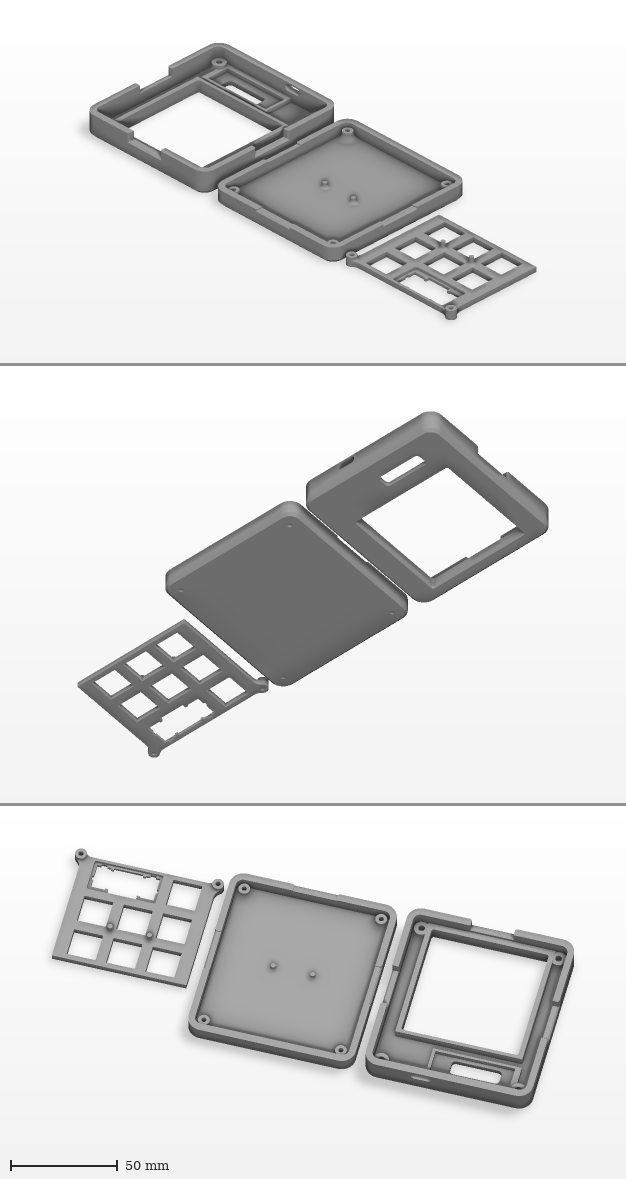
import cadquery as cq
import math

overall_length = 241.5
case_width = 81.0
case_depth = 89.1
base_offset = 86.0

corner_radius = 6.8
side_wall = 3.1
end_wall = 3.6
inner_corner_radius = 3.5
bottom_chamfer = 1.5
floor_thickness = 2.5
top_height = 12.5
base_height = 8.7

screw_spacing_x = 66.5
screw_spacing_y = 75.0
case_centre_x = case_width / 2
case_centre_y = case_depth / 2
screw_front_y = case_centre_y - screw_spacing_y / 2
screw_points = [
    (case_centre_x + sx * screw_spacing_x / 2, case_centre_y + sy * screw_spacing_y / 2)
    for sx in (-1, 1)
    for sy in (-1, 1)
]

top_standoff_diameter = 7.2
top_standoff_height = 6.5
top_standoff_fillet = 3.0
pilot_hole_diameter = 3.1
base_standoff_diameter = 5.5
base_standoff_height = 6.8
base_standoff_fillet = 3.0
base_hole_diameter = 2.4

notch_length = 21.0
notch_chamfer = 0.7
top_notch_depth = 4.3
base_notch_depth = 0.5

window_width = 56.8
window_depth = 57.2
window_front_y = 6.5
window_corner_radius = 1.2
window_frame_side = 2.5
window_frame_back = 1.7
window_frame_top = 6.8

display_frame_left = 9.0
display_frame_right = 52.0
display_frame_front = 68.8
display_frame_top = 4.8
display_pocket_left = 11.8
display_pocket_right = 50.5
display_pocket_front = 70.0
display_pocket_back = 82.9
display_slot_left = 17.6
display_slot_right = 41.8
display_slot_front = 71.7
display_slot_back = 79.0
display_slot_radius = 2.0

port_centre_x = 52.7
port_centre_z = 9.7
port_width = 9.7
port_height = 3.9

key_pitch = 19.0
peg_y = screw_front_y + 36.7

boss_diameter = 2.4
boss_fillet = 2.0
boss_height = 3.0

plate_bottom = 0.7
plate_thickness = 3.0
plate_width = 65.2
plate_front_y = 6.5
plate_back_y = 63.8
hub_diameter = 5.5
hub_height = 5.0
hub_hole_diameter = 2.4
hub_fillet = 5.0
hub_foot_fillet = 1.0
plate_centre_x = overall_length - hub_diameter / 2 - screw_spacing_x / 2
switch_size = 14.0
back_row_y = plate_back_y - 9.7

peg_diameter = 2.4
peg_height = 4.3
peg_fillet = 1.7

recess_width = 33.3
recess_depth = 16.0
recess_radius = 1.0
recess_ledge = 1.5
stabiliser_offset = 11.8
stabiliser_width = 6.8
stabiliser_back = 5.5
stabiliser_front = 6.8
link_back = 4.8
link_front = 6.0
relief_width = 3.0
relief_depth = 1.0
side_relief_depth = 0.7
side_relief_height = 2.2
side_relief_y = 0.5


def box(x_range, y_range, z_range):
    """Axis-aligned block between pairs of limits."""
    return cq.Workplane("XY").box(
        x_range[1] - x_range[0],
        y_range[1] - y_range[0],
        z_range[1] - z_range[0],
        centered=False,
    ).translate((x_range[0], y_range[0], z_range[0]))


def shell(height):
    """Open tray with rounded corners and a chamfered bottom edge."""
    outer = box((0, case_width), (0, case_depth), (0, height))
    outer = outer.edges("|Z").fillet(corner_radius).faces("<Z").edges().chamfer(bottom_chamfer)
    return outer.cut(cavity(height))


def cavity(height):
    """Space inside the walls, above the floor."""
    space = box(
        (side_wall, case_width - side_wall),
        (end_wall, case_depth - end_wall),
        (floor_thickness, height),
    )
    return space.edges("|Z").fillet(inner_corner_radius)


def flared_post(diameter, height, fillet, z):
    """Upright post whose foot flares out in a concave quarter round."""
    radius = diameter / 2
    diagonal = fillet * (1 - math.sqrt(0.5))
    profile = (
        cq.Workplane("XZ")
        .lineTo(radius + fillet, 0)
        .threePointArc((radius + diagonal, diagonal), (radius, fillet))
        .lineTo(radius, height)
        .lineTo(0, height)
        .close()
    )
    return profile.revolve(360, (0, 0, 0), (0, 1, 0)).translate((0, 0, z))


def notch(height, depth):
    """Rim notch through a wall on the y = 0 plane, centred on x = 0, flared at the outer face."""
    half = notch_length / 2
    bottom = height - depth
    cut = box((-half, half), (0, end_wall), (bottom, height))
    wide = half + notch_chamfer
    flare = (
        cq.Workplane("XZ")
        .moveTo(-wide, bottom - notch_chamfer)
        .lineTo(wide, bottom - notch_chamfer)
        .lineTo(wide, height)
        .lineTo(-wide, height)
        .close()
        .workplane(offset=-notch_chamfer)
        .moveTo(-half, bottom)
        .lineTo(half, bottom)
        .lineTo(half, height)
        .lineTo(-half, height)
        .close()
        .loft(ruled=True)
    )
    return cut.union(flare)


def cut_notches(body, height, depth):
    """Notches in the middle of the front, left and right walls."""
    cutter = notch(height, depth)
    left = cutter.rotate((0, 0, 0), (0, 0, 1), -90).translate((0, case_centre_y, 0))
    right = cutter.rotate((0, 0, 0), (0, 0, 1), 90).translate((case_width, case_centre_y, 0))
    front = cutter.translate((case_centre_x, 0, 0))
    return body.cut(front).cut(left).cut(right)


def make_top_case():
    """Upper half with keypad window, display opening and cable port."""
    body = shell(top_height)
    window_x = (case_centre_x - window_width / 2, case_centre_x + window_width / 2)
    window_y = (window_front_y, window_front_y + window_depth)
    window_frame = box(
        (window_x[0] - window_frame_side, window_x[1] + window_frame_side),
        (end_wall, window_y[1] + window_frame_back),
        (floor_thickness, window_frame_top),
    )
    display_frame = box(
        (display_frame_left, display_frame_right),
        (display_frame_front, case_depth - end_wall),
        (floor_thickness, display_frame_top),
    )
    display_pocket = box(
        (display_pocket_left, display_pocket_right),
        (display_pocket_front, display_pocket_back),
        (floor_thickness, display_frame_top),
    )
    fittings = window_frame.union(display_frame)
    fittings = fittings.cut(display_pocket)
    for x, y in screw_points:
        post = flared_post(
            top_standoff_diameter, top_standoff_height - floor_thickness, top_standoff_fillet, floor_thickness
        )
        post = post.translate((x, y, 0)).cut(display_pocket)
        fittings = fittings.union(post)
    body = body.union(fittings.intersect(cavity(top_height)))

    pilots = cq.Workplane("XY").workplane(offset=floor_thickness).pushPoints(screw_points)
    body = body.cut(pilots.circle(pilot_hole_diameter / 2).extrude(top_height))
    window = box(window_x, window_y, (0, window_frame_top)).edges("|Z").fillet(window_corner_radius)
    slot = box(
        (display_slot_left, display_slot_right),
        (display_slot_front, display_slot_back),
        (0, floor_thickness),
    ).edges("|Z").fillet(display_slot_radius)
    port = (
        cq.Workplane("XZ", origin=(port_centre_x, case_depth, port_centre_z))
        .slot2D(port_width, port_height)
        .extrude(end_wall)
    )
    body = body.cut(window).cut(slot).cut(port)
    return cut_notches(body, top_height, top_notch_depth)


def make_base_case():
    """Lower half with through-drilled standoffs and two locating bosses."""
    body = shell(base_height)
    posts = cq.Workplane("XY")
    for x, y in screw_points:
        post = flared_post(
            base_standoff_diameter, base_standoff_height - floor_thickness, base_standoff_fillet, floor_thickness
        )
        posts = posts.add(post.translate((x, y, 0)))
    for side in (-1, 1):
        boss = flared_post(boss_diameter, boss_height, boss_fillet, floor_thickness)
        posts = posts.add(boss.translate((case_centre_x + side * key_pitch / 2, peg_y, 0)))
    for post in posts.vals():
        body = body.union(cq.Workplane(post).intersect(cavity(base_height)))
    holes = cq.Workplane("XY").pushPoints(screw_points).circle(base_hole_diameter / 2).extrude(base_height)
    body = cut_notches(body.cut(holes), base_height, base_notch_depth)
    return body.translate((base_offset, 0, 0))


def double_key_opening():
    """Cutter for a double-width key with stabilisers, centred on the origin."""
    half = switch_size / 2
    cutter = box((-half, half), (-half, half), (0, plate_thickness))
    cutter = cutter.union(
        box((-stabiliser_offset, stabiliser_offset), (-link_front, link_back), (0, plate_thickness))
    )
    for side in (-1, 1):
        centre = side * stabiliser_offset
        edge = centre + side * stabiliser_width / 2
        stabiliser = box(
            (centre - stabiliser_width / 2, centre + stabiliser_width / 2),
            (-stabiliser_front, stabiliser_back),
            (0, plate_thickness),
        )
        front_relief = box(
            (centre - relief_width / 2, centre + relief_width / 2),
            (-stabiliser_front - relief_depth, -stabiliser_front),
            (0, plate_thickness),
        )
        side_relief = box(
            (edge - side_relief_depth, edge + side_relief_depth),
            (side_relief_y - side_relief_height / 2, side_relief_y + side_relief_height / 2),
            (0, plate_thickness),
        )
        cutter = cutter.union(stabiliser).union(front_relief).union(side_relief)
    recess = box(
        (-recess_width / 2, recess_width / 2),
        (-recess_depth / 2, recess_depth / 2),
        (recess_ledge, plate_thickness),
    ).edges("|Z").fillet(recess_radius)
    return cutter.union(recess)


def hub_gusset(side):
    """Plan area that blends a round hub into the plate edges with two concave arcs."""
    hub_radius = hub_diameter / 2
    inset = screw_spacing_x / 2 - plate_width / 2
    rise = screw_front_y - plate_front_y
    reach = hub_radius + hub_fillet
    upper = (inset - hub_fillet, math.sqrt(reach**2 - (inset - hub_fillet) ** 2))
    lower = (math.sqrt(reach**2 - (rise + hub_fillet) ** 2), -rise - hub_fillet)

    def on_hub(centre):
        return (centre[0] * hub_radius / reach, centre[1] * hub_radius / reach)

    def arc_middle(centre, start, end):
        dx = (start[0] + end[0]) / 2 - centre[0]
        dy = (start[1] + end[1]) / 2 - centre[1]
        scale = hub_fillet / math.hypot(dx, dy)
        return (centre[0] + dx * scale, centre[1] + dy * scale)

    upper_hub = on_hub(upper)
    upper_edge = (inset, upper[1])
    lower_hub = on_hub(lower)
    lower_edge = (lower[0], -rise)
    outline = (
        cq.Workplane("XY")
        .moveTo(*upper_edge)
        .threePointArc(arc_middle(upper, upper_edge, upper_hub), upper_hub)
        .lineTo(0, 0)
        .lineTo(*lower_hub)
        .threePointArc(arc_middle(lower, lower_hub, lower_edge), lower_edge)
        .lineTo(lower_edge[0], upper_edge[1])
        .close()
        .extrude(plate_thickness)
    )
    return outline if side < 0 else outline.mirror("YZ")


def make_switch_plate():
    """Switch plate with two screw hubs and two pegs, built from z = 0 and then raised."""
    half = plate_width / 2
    body = box((-half, half), (plate_front_y, plate_back_y), (0, plate_thickness))
    hub_points = [(side * screw_spacing_x / 2, screw_front_y) for side in (-1, 1)]
    for side, (x, y) in zip((-1, 1), hub_points):
        body = body.union(hub_gusset(side).translate((x, y, 0)))
        foot = flared_post(hub_diameter, hub_height - plate_thickness, hub_foot_fillet, 0)
        foot = foot.translate((x, y, plate_thickness))
        body = body.union(foot.intersect(body.translate((0, 0, plate_thickness))))
    hubs = cq.Workplane("XY").pushPoints(hub_points)
    body = body.union(hubs.circle(hub_diameter / 2).extrude(hub_height))
    body = body.cut(hubs.circle(hub_hole_diameter / 2).extrude(hub_height))

    single_keys = [(column, row) for row in (0, 1) for column in (-1, 0, 1)] + [(-1, 2)]
    key_points = [(column * key_pitch, back_row_y - row * key_pitch) for column, row in single_keys]
    keys = cq.Workplane("XY").pushPoints(key_points).rect(switch_size, switch_size)
    body = body.cut(keys.extrude(plate_thickness))
    body = body.cut(double_key_opening().translate((key_pitch / 2, back_row_y - 2 * key_pitch, 0)))

    for side in (-1, 1):
        peg = flared_post(peg_diameter, peg_height, peg_fillet, plate_thickness)
        body = body.union(peg.translate((side * key_pitch / 2, peg_y, 0)))
    return body.translate((plate_centre_x, 0, plate_bottom))


top_case = make_top_case()
base_case = make_base_case()
switch_plate = make_switch_plate()

result = cq.Compound.makeCompound([top_case.val(), base_case.val(), switch_plate.val()])